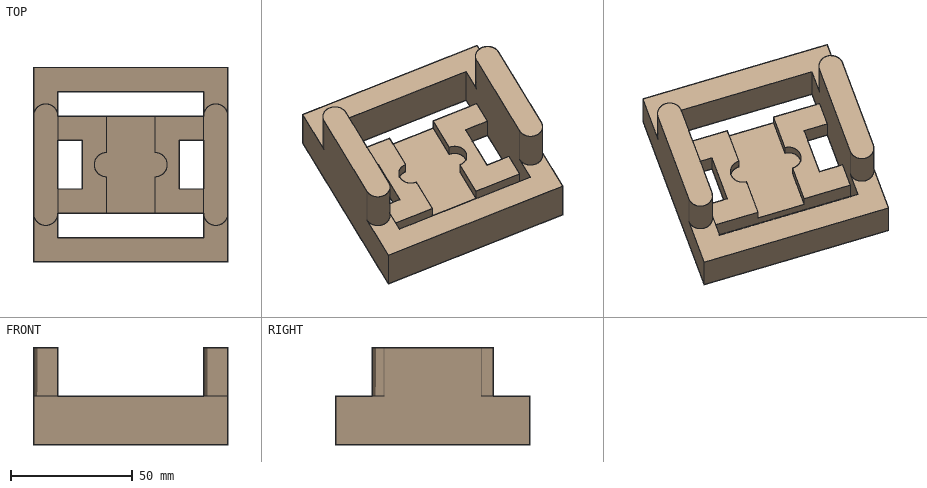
import cadquery as cq

frame_side = 80.0
frame_height = 20.0
wall = 10.0
opening = frame_side - 2 * wall

upright_height = 20.0
upright_length = 50.0
upright_offset = (frame_side - wall) / 2

bridge_width = 40.0
bridge_height = 10.0

window_depth = 10.0
window_width = 20.0

channel_width = 20.0
channel_floor = bridge_height / 2
relief_diameter = 10.0


def make_frame():
    outer = cq.Workplane("XY").rect(frame_side, frame_side)
    return outer.rect(opening, opening).extrude(frame_height)


def make_bridge():
    bridge = cq.Workplane("XY").box(opening, bridge_width, bridge_height, centered=(True, True, False))
    window_offset = (opening - window_depth) / 2
    windows = (
        cq.Workplane("XY")
        .pushPoints([(-window_offset, 0), (window_offset, 0)])
        .rect(window_depth, window_width)
        .extrude(bridge_height)
    )
    channel_depth = bridge_height - channel_floor
    floor_plane = cq.Workplane("XY").workplane(offset=channel_floor)
    channel = floor_plane.rect(channel_width, bridge_width).extrude(channel_depth)
    reliefs = (
        floor_plane.pushPoints([(-channel_width / 2, 0), (channel_width / 2, 0)])
        .circle(relief_diameter / 2)
        .extrude(channel_depth)
    )
    return bridge.cut(windows).cut(channel).cut(reliefs)


def make_uprights():
    return (
        cq.Workplane("XY")
        .workplane(offset=frame_height)
        .pushPoints([(-upright_offset, 0), (upright_offset, 0)])
        .slot2D(upright_length, wall, 90)
        .extrude(upright_height)
    )


result = make_frame().union(make_bridge()).union(make_uprights())